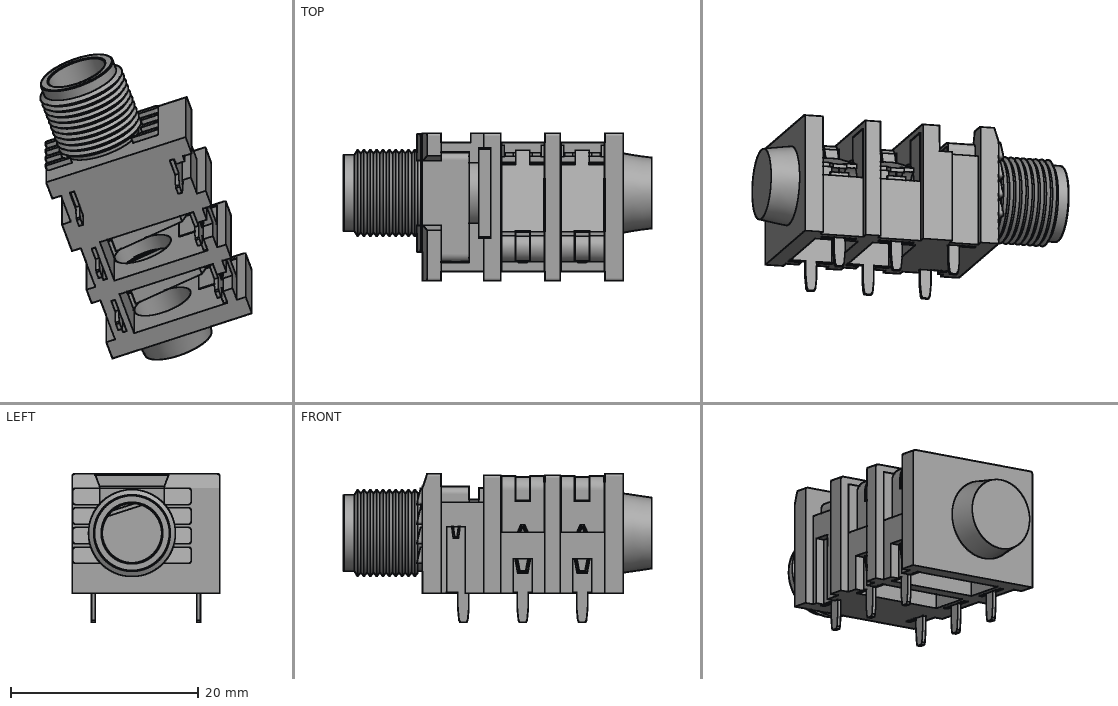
import cadquery as cq
import math


HOUSING_LENGTH = 21.5
HOUSING_WIDTH = 15.8
HOUSING_HEIGHT = 12.8
AXIS_Z = 6.45
MIDDLE_Y = -1.5
FRONT_Y = MIDDLE_Y - HOUSING_WIDTH / 2
BACK_Y = MIDDLE_Y + HOUSING_WIDTH / 2
CORE_INSET = 1.0
CORE_FRONT_Y = FRONT_Y + CORE_INSET
CORE_BACK_Y = BACK_Y - CORE_INSET
INNER_PLATE_HEIGHT = 12.65
FRONT_PLATE = (0.0, 2.0)
SECOND_PLATE = (6.55, 8.4)
THIRD_PLATE = (13.1, 14.75)
REAR_PLATE = (19.5, HOUSING_LENGTH)
PLATE_FILLET = 0.3
FRONT_CHAMFER_Z = 11.25
FRONT_CHAMFER_DEPTH = 0.5
HORN_GAP_TOP = 7.95
HORN_GAP_BOTTOM = 6.9
DECK_Z = 9.75
BAY_WALL_Z = 6.55
BAYS = ((SECOND_PLATE[1], THIRD_PLATE[0]), (THIRD_PLATE[1], REAR_PLATE[0]))
BAY_BACK_Y = 3.24
PAD = 0.08
PAD_TOP_Z = 11.9
PAD_BACK_START_Y = 1.55
PAD_FRONT_END_Y = -4.1
LUG_START_X = 5.15
HOUSING_BORE = 6.35
TAIL_LENGTH = 3.03
TAIL_ROOT = 8.5
TAIL_END = 7.6
TAIL_CAP = 0.8
CORNER_POCKET = (0.37, 1.2, 0.6)
CORNER_POCKET_BACK_Y = 5.1

GRIP_COUNT = 4
GRIP_PITCH = 2.1
GRIP_HEIGHT = 1.75
GRIP_INNER_Y = 3.45
GRIP_OUTER_Y = 6.33
GRIP_LEDGE = 0.2
GRIP_DEPTH = 0.6
GRIP_CORNER = 0.3

NOSE_LENGTH = 8.47
NOSE_DIAMETER = 8.2
NOSE_CHAMFER = 0.1
BUSH_BORE = 6.4
THREAD_CREST = 9.3
THREAD_ROOT = 8.5
THREAD_PITCH = 0.68
THREAD_COUNT = 10
FIRST_CREST_X = -6.93
SLEEVE_DIAMETER = 7.2
SLEEVE_SLOT = 6.45
FLANGE = (6.05, 7.3)
FLANGE_HALF_WIDTH = 4.69
FLANGE_TOP_Z = 11.27
FLANGE_CLEARANCE = 0.15

SHEET = 0.42
LEG_HALF_SPAN = 5.83
LEG_FRONT_Y = MIDDLE_Y - LEG_HALF_SPAN
LEG_BACK_Y = MIDDLE_Y + LEG_HALF_SPAN
LEG_BOTTOM_Z = 0.1
PIN_WIDTH = 1.2
PIN_NECK_WIDTH = 0.95
PIN_TIP_WIDTH = 0.7
PIN_LENGTH = 3.1
PIN_TAPER_START_Z = -1.5
PIN_SHOULDER_Z = -1.8
PIN_SHOULDER_WIDTH = 1.16
PIN_TIP_Z = -2.85
PIN_X = (4.38, 10.73, 17.08)

STRAP_END_X = 5.0
STRAP_TOP_Z = 11.43
STRAP_BEND = 0.8
LEG_CLEARANCE = 0.08
STRAP_SLOT = (2.6, 4.57, 7.15)

SPRING_TOP_Z = 12.57
SPRING_BEND = 1.54
SPRING_BEND_PAST_TOP = math.radians(54)
LEAF_START = (-4.14, 10.87)
LEAF_END_Y = 3.05
LEAF_SLOPE = math.radians(18)
STEP_SLOPE = math.radians(68)
TONGUE_END_Y = 4.55
TONGUE_WIDTH = 1.5
RECESS_WIDTH = 1.48
RECESS_DEPTH = 0.1
RECESS_BOTTOM_Z = 9.95
RECESS_END_Y = -4.05
RECESS_RIM = 0.08
SPRING_SLOT_WIDTH = 2.0
SPRING_SLOT_TOP_Z = 3.7

SWITCH_WIDTH = 3.8
SWITCH_TOP_Z = 6.2
SWITCH_TAB_WIDTH = 2.0
SWITCH_TAB_TOP_Z = 7.2

BUMP_HEIGHT = 0.15
BUMP_TAPER = 50
DIMPLE_INSET = 0.27
DIMPLE_DEPTH = 0.1
SPRING_BUMP = ((0.53, 2.15), (0.82, 3.65), (1.0, 5.6), (0.2, 7.32))
STRAP_BUMP = ((0.28, 5.9), (0.45, 7.15), (0.55, 8.0), (0.2, 9.0))
STRAP_BUMP_X = 3.58


def block(x, y, z):
    """Box from (start, end) pairs along each axis."""
    return cq.Workplane("XY").box(x[1] - x[0], y[1] - y[0], z[1] - z[0], centered=False).translate(
        (x[0], y[0], z[0])
    )


def rod(x, diameter):
    """Cylinder on the plug axis from x[0] to x[1]."""
    return cq.Workplane("YZ", origin=(x[0], 0, AXIS_Z)).circle(diameter / 2).extrude(x[1] - x[0])


def mirrored_outline(half_points, x):
    """Closed XZ outline, mirrored about x, from (half width, z) points."""
    right = [(x + half, z) for half, z in half_points]
    left = [(x - half, z) for half, z in reversed(half_points)]
    return cq.Workplane("XZ").polyline(right + left).close()


def pin(x, outer_y, inward):
    """Solder pin below a leg; inward is +1 when the sheet lies on the +Y side of outer_y."""
    points = [
        (PIN_WIDTH / 2, LEG_BOTTOM_Z),
        (PIN_WIDTH / 2, PIN_TAPER_START_Z),
        (PIN_SHOULDER_WIDTH / 2, PIN_SHOULDER_Z),
        (PIN_NECK_WIDTH / 2, PIN_TIP_Z),
        (PIN_TIP_WIDTH / 2, -PIN_LENGTH),
    ]
    return mirrored_outline(points, x).extrude(-inward * SHEET).translate((0, outer_y, 0))


def front_bump(points, x, dimpled=False):
    """Bump standing out of the outer face of the front leg."""
    bump = mirrored_outline(points, x).extrude(BUMP_HEIGHT, taper=BUMP_TAPER)
    if dimpled:
        dimple = mirrored_outline(points, x).offset2D(-DIMPLE_INSET, "intersection").extrude(BUMP_HEIGHT)
        bump = bump.cut(dimple.translate((0, DIMPLE_DEPTH - BUMP_HEIGHT, 0)))
    return bump.translate((0, LEG_FRONT_Y, 0))


def plate(x, height):
    slab = block(x, (FRONT_Y, BACK_Y), (0, height))
    return slab.edges("|X and >Z").fillet(PLATE_FILLET)


def front_plate():
    slab = plate(FRONT_PLATE, HOUSING_HEIGHT)
    chamfer = (
        cq.Workplane("XZ")
        .polyline([(0, FRONT_CHAMFER_Z), (FRONT_CHAMFER_DEPTH, HOUSING_HEIGHT), (0, HOUSING_HEIGHT)])
        .close()
        .extrude(HOUSING_WIDTH, both=True)
    )
    horn_gap = (
        cq.Workplane("YZ")
        .polyline(
            [
                (-HORN_GAP_BOTTOM / 2, STRAP_TOP_Z - SHEET),
                (HORN_GAP_BOTTOM / 2, STRAP_TOP_Z - SHEET),
                (HORN_GAP_BOTTOM / 2, STRAP_TOP_Z),
                (HORN_GAP_TOP / 2, HOUSING_HEIGHT),
                (-HORN_GAP_TOP / 2, HOUSING_HEIGHT),
                (-HORN_GAP_BOTTOM / 2, STRAP_TOP_Z),
            ]
        )
        .close()
        .extrude(FRONT_PLATE[1])
    )
    return slab.cut(chamfer).cut(horn_gap)


def grip(side, top_z):
    """Wedge that leans out from its upper edge; side is +1 or -1 in Y."""
    bottom_z = top_z - GRIP_HEIGHT
    wedge = (
        cq.Workplane("XZ")
        .polyline([(0, top_z), (-GRIP_LEDGE, top_z), (-GRIP_DEPTH, bottom_z), (0, bottom_z)])
        .close()
        .extrude(-(GRIP_OUTER_Y - GRIP_INNER_Y))
        .translate((0, GRIP_INNER_Y, 0))
    )
    wedge = wedge.edges(">Y and (>Z or <Z)").fillet(GRIP_CORNER)
    return wedge if side > 0 else wedge.mirror("XZ")


def tail():
    end_x = HOUSING_LENGTH + TAIL_LENGTH
    return (
        cq.Workplane("XZ")
        .moveTo(HOUSING_LENGTH, 0)
        .lineTo(HOUSING_LENGTH, TAIL_ROOT / 2)
        .lineTo(end_x, TAIL_END / 2)
        .lineTo(end_x, 0)
        .close()
        .revolve(360, (0, 0, 0), (1, 0, 0))
        .translate((0, 0, AXIS_Z))
    )


def bay_pads(bay):
    pads = cq.Workplane("XY")
    for start_x in (bay[0], bay[1] - PAD):
        for y in ((CORE_FRONT_Y, PAD_FRONT_END_Y), (PAD_BACK_START_Y, CORE_BACK_Y)):
            pads = pads.add(block((start_x, start_x + PAD), y, (BAY_WALL_Z, PAD_TOP_Z)))
    return pads.combine()


def bay_cuts(bay, x):
    """Well of a contact bay, slots of its two contacts and window for the front leg."""
    well = block(bay, (LEG_FRONT_Y, BAY_BACK_Y), (0, BAY_WALL_Z))
    window_x = (x - SPRING_SLOT_WIDTH / 2, x + SPRING_SLOT_WIDTH / 2)
    window = block(window_x, (CORE_FRONT_Y, LEG_FRONT_Y), (0, SPRING_SLOT_TOP_Z))
    middle_x = (bay[0] + bay[1]) / 2
    slot_x = (middle_x - SWITCH_WIDTH / 2, middle_x + SWITCH_WIDTH / 2)
    slot = block(slot_x, (LEG_BACK_Y - SHEET, LEG_BACK_Y), (0, BAY_WALL_Z))
    cuts = well.union(window).union(slot)
    width, depth, height = CORNER_POCKET
    pocket_y = (CORNER_POCKET_BACK_Y - depth, CORNER_POCKET_BACK_Y)
    for start_x in (bay[0], bay[1] - width):
        cuts = cuts.union(
            block((start_x, start_x + width), pocket_y, (BAY_WALL_Z - height, BAY_WALL_Z))
        )
    return cuts


def bush_seat():
    """Opening that takes the bush, open towards the top."""
    nose_slot = block(FRONT_PLATE, (-GRIP_INNER_Y, GRIP_INNER_Y), (AXIS_Z, STRAP_TOP_Z - SHEET))
    sleeve_slot = block(
        (FRONT_PLATE[1], FLANGE[0]), (-SLEEVE_SLOT / 2, SLEEVE_SLOT / 2), (AXIS_Z, DECK_Z)
    )
    half = FLANGE_HALF_WIDTH + FLANGE_CLEARANCE
    flange_slot = block(FLANGE, (-half, half), (AXIS_Z, HOUSING_HEIGHT))
    seat = nose_slot.union(sleeve_slot).union(flange_slot)
    seat = seat.union(rod((0, FLANGE[1]), SLEEVE_DIAMETER))
    return seat.union(rod(FLANGE, 2 * half))


def strap_cuts():
    """Slots of the two strap legs and the window in front of the front leg."""
    leg_x = (FRONT_PLATE[1], STRAP_END_X)
    cuts = block((STRAP_SLOT[0], STRAP_SLOT[1]), (CORE_FRONT_Y, LEG_FRONT_Y), (0, STRAP_SLOT[2]))
    for start_y in (LEG_FRONT_Y - LEG_CLEARANCE, LEG_BACK_Y - SHEET):
        cuts = cuts.union(block(leg_x, (start_y, start_y + SHEET + LEG_CLEARANCE), (0, DECK_Z)))
    return cuts


def make_housing():
    core_y = (CORE_FRONT_Y, CORE_BACK_Y)
    body = front_plate()
    body = body.union(block((FRONT_PLATE[1], SECOND_PLATE[0]), core_y, (0, DECK_Z)))
    body = body.union(block((SECOND_PLATE[0], HOUSING_LENGTH), core_y, (0, BAY_WALL_Z)))
    body = body.union(plate(SECOND_PLATE, INNER_PLATE_HEIGHT))
    body = body.union(plate(THIRD_PLATE, INNER_PLATE_HEIGHT))
    body = body.union(plate(REAR_PLATE, HOUSING_HEIGHT))
    body = body.union(block((LUG_START_X, SECOND_PLATE[0]), (CORE_BACK_Y, BACK_Y), (0, DECK_Z)))
    body = body.union(tail())
    for bay, x in zip(BAYS, PIN_X[1:]):
        body = body.union(bay_pads(bay)).cut(bay_cuts(bay, x))
        body = body.cut(front_bump(SPRING_BUMP, x))
    for row in range(GRIP_COUNT):
        for side in (1, -1):
            body = body.union(grip(side, FRONT_CHAMFER_Z - row * GRIP_PITCH))
    body = body.cut(rod((-GRIP_DEPTH, 0), THREAD_CREST))
    body = body.cut(bush_seat()).cut(strap_cuts()).cut(front_bump(STRAP_BUMP, STRAP_BUMP_X))
    return body.cut(rod((FLANGE[1], HOUSING_LENGTH + TAIL_LENGTH - TAIL_CAP), HOUSING_BORE))


def nose():
    """Threaded nose with ring-shaped ridges, and the sleeve behind it."""
    half_pitch = THREAD_PITCH / 2
    outline = cq.Workplane("XZ").moveTo(-NOSE_LENGTH, BUSH_BORE / 2 + NOSE_CHAMFER)
    outline = outline.lineTo(-NOSE_LENGTH, NOSE_DIAMETER / 2 - NOSE_CHAMFER)
    outline = outline.lineTo(-NOSE_LENGTH + NOSE_CHAMFER, NOSE_DIAMETER / 2)
    outline = outline.lineTo(FIRST_CREST_X - half_pitch, NOSE_DIAMETER / 2)
    for ridge in range(THREAD_COUNT):
        crest_x = FIRST_CREST_X + ridge * THREAD_PITCH
        outline = outline.lineTo(crest_x, THREAD_CREST / 2)
        outline = outline.lineTo(crest_x + half_pitch, THREAD_ROOT / 2)
    outline = outline.lineTo(crest_x + half_pitch, NOSE_DIAMETER / 2)
    outline = outline.lineTo(0, NOSE_DIAMETER / 2).lineTo(0, SLEEVE_DIAMETER / 2)
    outline = outline.lineTo(FLANGE[1], SLEEVE_DIAMETER / 2).lineTo(FLANGE[1], BUSH_BORE / 2)
    outline = outline.lineTo(-NOSE_LENGTH + NOSE_CHAMFER, BUSH_BORE / 2).close()
    return outline.revolve(360, (0, 0, 0), (1, 0, 0)).translate((0, 0, AXIS_Z))


def make_bush():
    neck_y = (-GRIP_INNER_Y, GRIP_INNER_Y)
    neck = block(FRONT_PLATE, neck_y, (AXIS_Z, STRAP_TOP_Z - SHEET))
    face = block((-GRIP_LEDGE, 0), neck_y, (AXIS_Z, FRONT_CHAMFER_Z))
    flange = rod(FLANGE, 2 * FLANGE_HALF_WIDTH).union(
        block(FLANGE, (-FLANGE_HALF_WIDTH, FLANGE_HALF_WIDTH), (AXIS_Z, FLANGE_TOP_Z))
    )
    solid_parts = neck.union(face).union(flange)
    return solid_parts.cut(rod((-GRIP_LEDGE, FLANGE[1]), BUSH_BORE)).union(nose())


def make_sleeve_contact():
    strap_x = (FRONT_PLATE[1], STRAP_END_X)
    outer = block(strap_x, (LEG_FRONT_Y, LEG_BACK_Y), (LEG_BOTTOM_Z, STRAP_TOP_Z))
    outer = outer.edges("|X and >Z").fillet(STRAP_BEND)
    inner = block(
        strap_x, (LEG_FRONT_Y + SHEET, LEG_BACK_Y - SHEET), (LEG_BOTTOM_Z, STRAP_TOP_Z - SHEET)
    )
    inner = inner.edges("|X and >Z").fillet(STRAP_BEND - SHEET)
    front_tab = block(FRONT_PLATE, (-GRIP_INNER_Y, GRIP_INNER_Y), (STRAP_TOP_Z - SHEET, STRAP_TOP_Z))
    strap = outer.cut(inner).union(front_tab)
    strap = strap.union(pin(PIN_X[0], LEG_FRONT_Y, 1)).union(pin(PIN_X[0], LEG_BACK_Y, -1))
    return strap.union(front_bump(STRAP_BUMP, STRAP_BUMP_X))


def spring_path(inset):
    """YZ points of the bent sheet, moved inwards from its outer face by inset."""
    radius = SPRING_BEND - inset
    center_y = LEG_FRONT_Y + SPRING_BEND
    center_z = SPRING_TOP_Z - SPRING_BEND

    def on_bend(angle):
        return center_y + radius * math.sin(angle), center_z + radius * math.cos(angle)

    corner_scale = inset / (1 + math.cos(STEP_SLOPE - LEAF_SLOPE))
    leaf_start = (
        LEAF_START[0] - corner_scale * (math.sin(STEP_SLOPE) + math.sin(LEAF_SLOPE)),
        LEAF_START[1] - corner_scale * (math.cos(STEP_SLOPE) + math.cos(LEAF_SLOPE)),
    )
    bend_middle = on_bend((SPRING_BEND_PAST_TOP - math.pi / 2) / 2)
    return on_bend(-math.pi / 2), bend_middle, on_bend(SPRING_BEND_PAST_TOP), leaf_start


def leaf_z(y, inset):
    """Height of the sloping leaf at y, measured inset below its top face."""
    return LEAF_START[1] - (y - LEAF_START[0]) * math.tan(LEAF_SLOPE) - inset / math.cos(LEAF_SLOPE)


def bent_sheet(x, bottom_z, end_y, outer_inset, inner_inset):
    """Sheet between two insets, from the leg foot over the bend to the leaf end."""
    leg_top, bend_middle, bend_end, leaf_start = spring_path(outer_inset)
    under_leg_top, under_middle, under_end, under_leaf = spring_path(inner_inset)
    outline = (
        cq.Workplane("YZ", origin=(x[0], 0, 0))
        .moveTo(LEG_FRONT_Y + outer_inset, bottom_z)
        .lineTo(*leg_top)
        .threePointArc(bend_middle, bend_end)
        .lineTo(*leaf_start)
        .lineTo(end_y, leaf_z(end_y, outer_inset))
        .lineTo(end_y, leaf_z(end_y, inner_inset))
        .lineTo(*under_leaf)
        .lineTo(*under_end)
        .threePointArc(under_middle, under_leg_top)
        .lineTo(LEG_FRONT_Y + inner_inset, bottom_z)
        .close()
    )
    return outline.extrude(x[1] - x[0])


def make_spring_contact(bay, x):
    sheet_x = (bay[0] + PAD, bay[1] - PAD)
    tongue_x = (x - TONGUE_WIDTH / 2, x + TONGUE_WIDTH / 2)
    recess_x = (x - RECESS_WIDTH / 2, x + RECESS_WIDTH / 2)
    rim_x = (recess_x[0] - RECESS_RIM, recess_x[1] + RECESS_RIM)
    contact = bent_sheet(sheet_x, LEG_BOTTOM_Z, LEAF_END_Y, 0, SHEET)
    tongue = bent_sheet(tongue_x, BAY_WALL_Z, TONGUE_END_Y, 0, SHEET)
    recess = bent_sheet(recess_x, RECESS_BOTTOM_Z, RECESS_END_Y, 0, RECESS_DEPTH)
    rim = bent_sheet(rim_x, RECESS_BOTTOM_Z - RECESS_RIM, RECESS_END_Y, 0, RECESS_DEPTH / 2)
    contact = contact.union(tongue).cut(recess).cut(rim)
    return contact.union(pin(x, LEG_FRONT_Y, 1)).union(front_bump(SPRING_BUMP, x, dimpled=True))


def make_switch_contact(bay, x):
    middle_x = (bay[0] + bay[1]) / 2
    y = (LEG_BACK_Y - SHEET, LEG_BACK_Y)
    body_x = (middle_x - SWITCH_WIDTH / 2, middle_x + SWITCH_WIDTH / 2)
    tab_x = (x - SWITCH_TAB_WIDTH / 2, x + SWITCH_TAB_WIDTH / 2)
    contact = block(body_x, y, (LEG_BOTTOM_Z, SWITCH_TOP_Z))
    contact = contact.union(block(tab_x, y, (SWITCH_TOP_Z, SWITCH_TAB_TOP_Z)))
    return contact.union(pin(x, LEG_BACK_Y, -1))


housing = make_housing()
bush = make_bush()
sleeve_contact = make_sleeve_contact()
spring_contacts = [make_spring_contact(bay, x) for bay, x in zip(BAYS, PIN_X[1:])]
switch_contacts = [make_switch_contact(bay, x) for bay, x in zip(BAYS, PIN_X[1:])]

result = cq.Compound.makeCompound(
    [body.solids().val() for body in (housing, bush, sleeve_contact, *spring_contacts, *switch_contacts)]
)